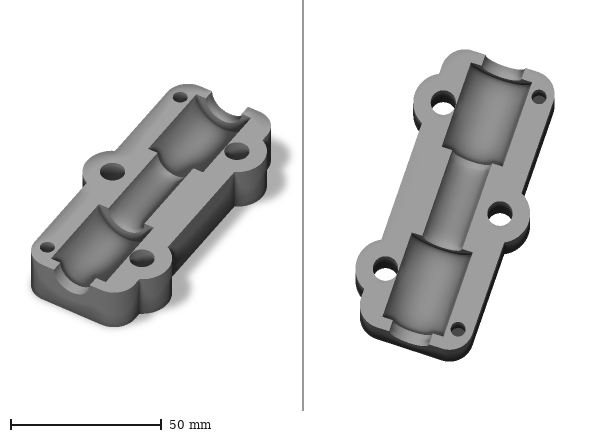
import cadquery as cq

body_width = 39.0
body_length = 100.0
height = 16.0
corner_radius = 8.0

lug_radius = 10.0
lug_offset = 15.0
lug_spacing = 60.0
bolt_diameter = 8.4
lug_centers = [
    (-lug_offset, 0),
    (lug_offset, lug_spacing / 2),
    (lug_offset, -lug_spacing / 2),
]

channel_diameter = 14.0
seat_diameter = 21.4
seat_length = 30.5
end_wall = 4.0

pin_diameter = 5.0
pin_depth = 8.0
pin_x = -14.5
pin_spacing = 84.0


def cylinder_along_y(diameter, length, center_y):
    """Cylinder lying in the top face, parallel to Y."""
    return (
        cq.Workplane("XZ", origin=(0, center_y + length / 2, height))
        .circle(diameter / 2)
        .extrude(length)
    )


def vertical_cylinders(centers, diameter, bottom):
    """Upright cylinders from the given level to the top face."""
    return (
        cq.Workplane("XY", origin=(0, 0, bottom))
        .pushPoints(centers)
        .circle(diameter / 2)
        .extrude(height - bottom)
    )


body = (
    cq.Workplane("XY")
    .box(body_width, body_length, height, centered=(True, True, False))
    .edges("|Z")
    .fillet(corner_radius)
    .union(vertical_cylinders(lug_centers, 2 * lug_radius, 0))
)

body = body.cut(cylinder_along_y(channel_diameter, body_length, 0))
seat_y = body_length / 2 - end_wall - seat_length / 2
for side in (-1, 1):
    body = body.cut(cylinder_along_y(seat_diameter, seat_length, side * seat_y))

body = body.cut(vertical_cylinders(lug_centers, bolt_diameter, 0))

pin_centers = [(pin_x, side * pin_spacing / 2) for side in (-1, 1)]
result = body.cut(vertical_cylinders(pin_centers, pin_diameter, height - pin_depth))